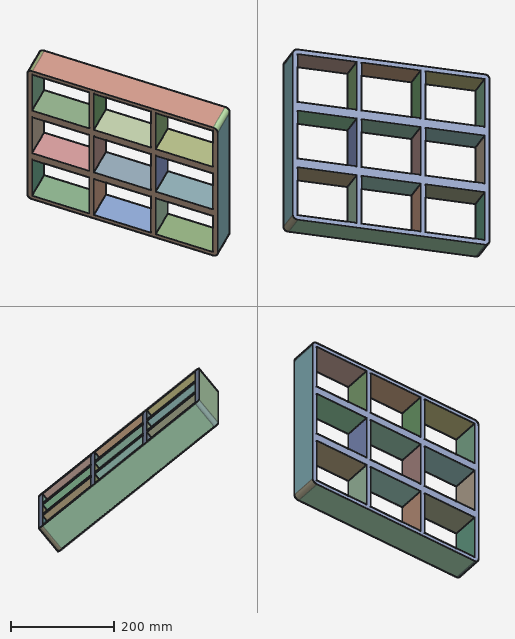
import cadquery as cq

width = 401.5
depth = 60.0
height = 363.0

wall = 10.0
shelf_thickness = 19.0
corner_radius = 10.0

columns = 3
rows = 3
opening_width = (width - (columns + 1) * wall) / columns
opening_height = (height - 2 * wall - (rows - 1) * shelf_thickness) / rows
column_pitch = opening_width + wall
row_pitch = opening_height + shelf_thickness


def outer_block():
    """Solid block with its four depth-wise edges rounded."""
    block = cq.Workplane("XY").box(width, depth, height)
    return block.edges("|Y").fillet(corner_radius)


def openings():
    """Prisms for the openings, running through the full depth."""
    return (
        cq.Workplane("XZ")
        .rarray(column_pitch, row_pitch, columns, rows)
        .rect(opening_width, opening_height)
        .extrude(depth, both=True)
    )


result = outer_block().cut(openings())